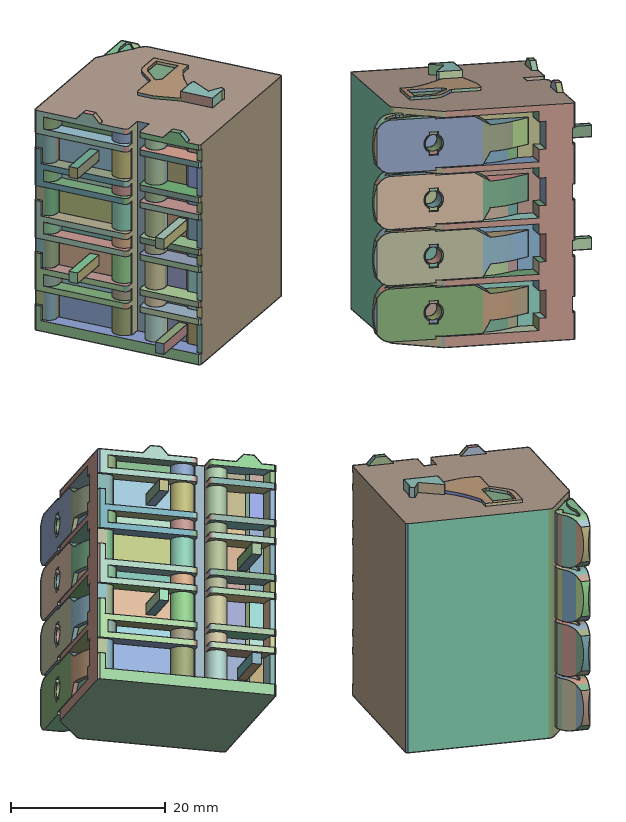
import cadquery as cq


POLE_COUNT = 4
POLE_PITCH = 7.5
WIDTH = 24.0
DEPTH = 23.7
HEIGHT = 31.47
TOTAL_HEIGHT = 32.85
TOTAL_DEPTH = 31.0

BOTTOM_PLATE = 1.5
TOP_PLATE = 0.75
WIDE_CAVITY = 4.2
RIB = 0.82

PIN_LENGTH = 4.07
LEVER_TIP_Y = TOTAL_DEPTH - PIN_LENGTH

CORNER_CHAMFER = 0.23
SLANT_START_Y = 17.67
SLANT_END_X = 4.2
SLANT_BLEND = 1.0
SLANT_START_BLEND = 0.43

SLOT_LEFT = 13.47
SLOT_RIGHT = 15.15
SLOT_DEPTH = 2.85
SLOT_LEFT_ROUND = 0.55
SLOT_RIGHT_ROUND = 0.4
LEFT_FLOOR = 2.05
LEFT_POST_X = 11.83
LEFT_POST_RADIUS = 1.48
LEFT_POST_END_Y = 1.38
ROUND_START_X = 1.35
WIDE_ROUND = 1.12
NARROW_LEDGE_Y = 0.03
NARROW_ROUND = 1.5
GROOVE_DEPTH = 2.25
GROOVE_STEP = 0.15
RIGHT_FLOOR = 2.7
RIGHT_RAISED_FLOOR = 2.3
RIGHT_POST_RADIUS = 1.38
RIGHT_POST_Y = 2.05
RIGHT_STEP_X = 20.65
RIGHT_STEP_RUN = 0.43
RIGHT_WALL_X = 22.95
RIGHT_WALL_RECESS = 0.45
RIGHT_WALL_DRAFT = 0.35

NOTCH_WIDTH = 1.0
NOTCH_DEPTH = 0.4
NOTCH_HEIGHT = 2.15

PIN_WIDTH = 1.25
PIN_HEIGHT = 1.5
PIN_BOTTOM = 2.6
LEFT_PIN_X = 7.7
RIGHT_PIN_X = 20.17

BUMP_BASE = 3.45
BUMP_TOP = 1.4
BUMP_HEIGHT = 1.1
BUMP_DEPTH = 0.82
BUMP_CENTERS = (7.75, 20.35)

POCKET_BOTTOM = 1.48
POCKET_HEIGHT = 6.7
POCKET_FRONT_Y = 4.9
POCKET_FLOOR_X = 2.95
TAB_FRONT_Y = 3.95
TAB_BOTTOM = 3.12
TAB_HEIGHT = 3.68

LEVER_BOTTOM = 1.2
LEVER_HEIGHT = 7.05
LEVER_ROUND_START_Y = 24.6
LEVER_ROUND_MIDDLE_Y = 25.35
LEVER_ROUND_MIDDLE_DROP = 0.1
LEVER_ROUND_END_Y = 26.02
LEVER_ROUND_DROP = 0.45
LEVER_SHOULDER_DROP = 1.12
LEVER_TIP_CHAMFER = 0.33
LEVER_SHOULDER_Y = LEVER_TIP_Y - LEVER_TIP_CHAMFER
LEVER_INNER_X = 3.55
LEVER_ROOT_Y = 18.72
LEVER_ROOT_X = 0.72
LEVER_OVERLAP = 0.1
LEVER_CLEARANCE = 0.1
RECESS_DEPTH = 0.33
FLAT_END_Y = 12.4
FINGER_BOTTOM = 3.25
FINGER_TOP = TAB_BOTTOM + TAB_HEIGHT
FINGER_CURVE_END = (1.2, 8.05)
FINGER_END = (2.7, 5.6)
LOWER_FINGER_SETBACK = 0.6
LOWER_FINGER_CURVE_END = (1.75, 8.57)
LOWER_FINGER_END = (2.55, 7.1)
SHOULDER_START_Y = 13.55
SHOULDER_END_Y = 11.35

HOLE_DIAMETER = 2.2
HOLE_RIM_DIAMETER = 2.55
HOLE_DEPTH = 2.63
HOLE_Y = 19.0
HOLE_Z = 4.8
RIM_DEPTH = 0.2
KEYWAY_DEPTH = 0.45
KEYWAY_WIDTH = 1.18
KEYWAY_LENGTH = 3.1

FIGURE_HEIGHT = 0.4


def slab(outline, bottom, height):
    """Prism standing on z = bottom with a closed XY outline."""
    return outline.close().extrude(height).translate((0, 0, bottom))


def polygon(points):
    return cq.Workplane("XY").polyline(points)


def block(x_range, y_range, z_range):
    (x0, x1), (y0, y1), (z0, z1) = x_range, y_range, z_range
    return cq.Workplane("XY").box(x1 - x0, y1 - y0, z1 - z0, centered=False).translate((x0, y0, z0))


def slant_y(x):
    """Y of the slanted corner face of the housing at a given x."""
    return SLANT_START_Y + x * (DEPTH - SLANT_START_Y) / SLANT_END_X


def make_housing():
    outline = [(0, 0), (WIDTH, 0), (WIDTH, DEPTH), (SLANT_END_X, DEPTH), (0, SLANT_START_Y)]
    body = slab(polygon(outline), 0, HEIGHT)
    for x, y in ((0, 0), (WIDTH, 0), (WIDTH, DEPTH)):
        corner = cq.selectors.NearestToPointSelector((x, y, HEIGHT / 2))
        body = body.edges(corner).chamfer(CORNER_CHAMFER)
    slant_corner = cq.selectors.NearestToPointSelector((SLANT_END_X, DEPTH, HEIGHT / 2))
    body = body.edges(slant_corner).fillet(SLANT_BLEND)
    slant_start = cq.selectors.NearestToPointSelector((0, SLANT_START_Y, HEIGHT / 2))
    return body.edges(slant_start).fillet(SLANT_START_BLEND)


def make_slot():
    """Vertical front slot with a rounded mouth, stopping at the bottom plate."""
    left_mouth = (SLOT_LEFT - SLOT_LEFT_ROUND, 0)
    right_mouth = (SLOT_RIGHT + SLOT_RIGHT_ROUND, 0)
    outline = (
        cq.Workplane("XY")
        .moveTo(*left_mouth)
        .radiusArc((SLOT_LEFT, SLOT_LEFT_ROUND), -SLOT_LEFT_ROUND)
        .lineTo(SLOT_LEFT, SLOT_DEPTH)
        .lineTo(SLOT_RIGHT, SLOT_DEPTH)
        .lineTo(SLOT_RIGHT, SLOT_RIGHT_ROUND)
        .radiusArc(right_mouth, -SLOT_RIGHT_ROUND)
    )
    return slab(outline, BOTTOM_PLATE, HEIGHT)


def left_cavity(ledge_y, round_radius, bottom, height):
    """Cavity with a rounded left shoulder and a post next to the slot."""
    round_end_x = ROUND_START_X + round_radius
    outline = (
        cq.Workplane("XY")
        .moveTo(ROUND_START_X, 0)
        .lineTo(ROUND_START_X, ledge_y)
        .radiusArc((round_end_x, ledge_y + round_radius), -round_radius)
        .lineTo(round_end_x, GROOVE_DEPTH)
        .lineTo(round_end_x + GROOVE_STEP, LEFT_FLOOR)
        .lineTo(LEFT_POST_X - LEFT_POST_RADIUS, LEFT_FLOOR)
        .threePointArc(
            (LEFT_POST_X, LEFT_FLOOR - LEFT_POST_RADIUS),
            (LEFT_POST_X + LEFT_POST_RADIUS, LEFT_POST_END_Y),
        )
        .lineTo(SLOT_LEFT, LEFT_POST_END_Y)
        .lineTo(SLOT_LEFT, 0)
    )
    return slab(outline, bottom, height)


def right_cavity(bottom, height):
    """Cavity with a post beside the slot, a stepped floor and a set-back right wall."""
    post_end_x = SLOT_RIGHT + 2 * RIGHT_POST_RADIUS
    outline = (
        cq.Workplane("XY")
        .moveTo(SLOT_RIGHT, 0)
        .lineTo(SLOT_RIGHT, RIGHT_POST_Y)
        .threePointArc(
            (SLOT_RIGHT + RIGHT_POST_RADIUS, RIGHT_POST_Y - RIGHT_POST_RADIUS),
            (post_end_x, RIGHT_POST_Y),
        )
        .lineTo(post_end_x, RIGHT_FLOOR)
        .lineTo(RIGHT_STEP_X, RIGHT_FLOOR)
        .lineTo(RIGHT_STEP_X + RIGHT_STEP_RUN, RIGHT_RAISED_FLOOR)
        .lineTo(RIGHT_WALL_X, RIGHT_RAISED_FLOOR)
        .lineTo(RIGHT_WALL_X + RIGHT_WALL_DRAFT, RIGHT_WALL_RECESS)
        .lineTo(WIDTH, RIGHT_WALL_RECESS)
        .lineTo(WIDTH, 0)
    )
    return slab(outline, bottom, height)


def cut_pole_cavities(body, base):
    """Wide cavity, narrow cavity above it and the wall notch of one pole."""
    wide_bottom = base + BOTTOM_PLATE
    wide_top = wide_bottom + WIDE_CAVITY
    narrow_bottom = wide_top + RIB
    is_top_pole = base == (POLE_COUNT - 1) * POLE_PITCH
    narrow_top = HEIGHT - TOP_PLATE if is_top_pole else wide_bottom + POLE_PITCH - RIB
    narrow = narrow_top - narrow_bottom
    ledge = block((NOTCH_WIDTH, ROUND_START_X), (0, NOTCH_DEPTH), (wide_bottom, wide_top))
    body = body.cut(ledge)
    body = body.cut(left_cavity(NOTCH_DEPTH, WIDE_ROUND, wide_bottom, WIDE_CAVITY))
    body = body.cut(left_cavity(NARROW_LEDGE_Y, NARROW_ROUND, narrow_bottom, narrow))
    body = body.cut(right_cavity(wide_bottom, WIDE_CAVITY))
    body = body.cut(right_cavity(narrow_bottom, narrow))
    return body.cut(block((0, NOTCH_WIDTH), (0, NOTCH_DEPTH), (wide_top - NOTCH_HEIGHT, wide_top)))


def make_pin(center_x, base):
    half = PIN_WIDTH / 2
    bottom = base + PIN_BOTTOM
    return block(
        (center_x - half, center_x + half), (-PIN_LENGTH, SLOT_DEPTH), (bottom, bottom + PIN_HEIGHT)
    )


def make_bump(center_x):
    profile = [
        (center_x - BUMP_BASE / 2, HEIGHT),
        (center_x + BUMP_BASE / 2, HEIGHT),
        (center_x + BUMP_TOP / 2, HEIGHT + BUMP_HEIGHT),
        (center_x - BUMP_TOP / 2, HEIGHT + BUMP_HEIGHT),
    ]
    return cq.Workplane("XZ").polyline(profile).close().extrude(-BUMP_DEPTH)


def make_pocket(base):
    bottom = base + POCKET_BOTTOM
    pocket = block(
        (0, POCKET_FLOOR_X), (POCKET_FRONT_Y, DEPTH), (bottom, bottom + POCKET_HEIGHT)
    )
    tab_bottom = base + TAB_BOTTOM
    tab = block(
        (0, POCKET_FLOOR_X), (TAB_FRONT_Y, POCKET_FRONT_Y), (tab_bottom, tab_bottom + TAB_HEIGHT)
    )
    return pocket.union(tab)


def lever_handle(base):
    """Free end of the lever, outside the slanted housing corner."""
    outline = [
        (0, LEVER_ROOT_Y),
        (0, LEVER_SHOULDER_Y),
        (LEVER_TIP_CHAMFER, LEVER_TIP_Y),
        (1.0, LEVER_TIP_Y),
        (1.7, LEVER_ROUND_END_Y),
        (3.12, 24.4),
        (LEVER_INNER_X, 23.6),
        (LEVER_INNER_X, slant_y(LEVER_INNER_X) - LEVER_OVERLAP),
        (LEVER_ROOT_X, LEVER_ROOT_Y),
    ]
    bottom = base + LEVER_BOTTOM
    top = bottom + LEVER_HEIGHT
    handle = slab(polygon(outline), bottom, LEVER_HEIGHT)
    lower_middle, upper_middle = [
        (LEVER_ROUND_MIDDLE_Y, z) for z in (bottom + LEVER_ROUND_MIDDLE_DROP, top - LEVER_ROUND_MIDDLE_DROP)
    ]
    lower_end, upper_end = [
        (LEVER_ROUND_END_Y, z) for z in (bottom + LEVER_ROUND_DROP, top - LEVER_ROUND_DROP)
    ]
    lower_shoulder, upper_shoulder = [
        (LEVER_SHOULDER_Y, z) for z in (bottom + LEVER_SHOULDER_DROP, top - LEVER_SHOULDER_DROP)
    ]
    side = (
        cq.Workplane("YZ")
        .moveTo(LEVER_ROOT_Y, bottom)
        .lineTo(LEVER_ROUND_START_Y, bottom)
        .threePointArc(lower_middle, lower_end)
        .lineTo(*lower_shoulder)
        .threePointArc((LEVER_TIP_Y, bottom + LEVER_HEIGHT / 2), upper_shoulder)
        .lineTo(*upper_end)
        .threePointArc(upper_middle, (LEVER_ROUND_START_Y, top))
        .lineTo(LEVER_ROOT_Y, top)
        .close()
        .extrude(LEVER_INNER_X)
    )
    return handle.intersect(side)


def curved_finger(start_x, curve_end, end, bottom, height):
    """Finger whose outer face sweeps inwards from the flat of the lever."""
    curve_middle = (
        start_x + (curve_end[0] - start_x) / 4,
        (FLAT_END_Y + curve_end[1]) / 2,
    )
    outline = (
        cq.Workplane("XY")
        .moveTo(POCKET_FLOOR_X, FLAT_END_Y)
        .lineTo(start_x, FLAT_END_Y)
        .threePointArc(curve_middle, curve_end)
        .lineTo(*end)
        .lineTo(POCKET_FLOOR_X, end[1])
    )
    return slab(outline, bottom, height)


def finger_trim(start_y, lever_z, finger_z):
    """Cutter that narrows the lever along a slope from its edge to the edge of the upper finger."""
    profile = [
        (start_y, lever_z),
        (SHOULDER_END_Y, finger_z),
        (FINGER_END[1], finger_z),
        (FINGER_END[1], lever_z),
    ]
    return cq.Workplane("YZ").polyline(profile).close().extrude(POCKET_FLOOR_X)


def lever_body(base):
    """Part of the lever that lies in the pocket, down to the two curved fingers."""
    bottom = base + POCKET_BOTTOM + LEVER_CLEARANCE
    height = POCKET_HEIGHT - 2 * LEVER_CLEARANCE
    top = bottom + height
    outline = [
        (0, FLAT_END_Y),
        (0, LEVER_ROOT_Y + LEVER_OVERLAP),
        (POCKET_FLOOR_X, slant_y(POCKET_FLOOR_X) + LEVER_OVERLAP),
        (POCKET_FLOOR_X, FLAT_END_Y),
    ]
    flat = slab(polygon(outline), bottom, height)
    finger_top = base + FINGER_TOP
    finger_bottom = base + FINGER_BOTTOM
    upper = curved_finger(0, FINGER_CURVE_END, FINGER_END, bottom, height)
    lower_height = finger_bottom - bottom
    lower = curved_finger(
        LOWER_FINGER_SETBACK, LOWER_FINGER_CURVE_END, LOWER_FINGER_END, bottom, lower_height
    )
    upper_trim = finger_trim(SHOULDER_START_Y, top, finger_top)
    lower_trim = finger_trim(FLAT_END_Y, bottom, finger_bottom)
    return flat.union(upper.cut(lower_trim)).union(lower).cut(upper_trim)


def make_lever(base):
    """Whole lever with the shallow recess in the top of its handle."""
    recess = [
        (0.33, LEVER_ROOT_Y),
        (0.82, 19.25),
        (1.18, 20.05),
        (1.18, 21.78),
        (0.82, 23.0),
        (0.82, 24.8),
        (1.05, 25.23),
        (1.3, 25.13),
        (2.75, 23.4),
        (2.45, 22.93),
        (2.45, 22.37),
        (LEVER_INNER_X, 22.37),
        (LEVER_INNER_X, LEVER_ROOT_Y),
    ]
    top = base + LEVER_BOTTOM + LEVER_HEIGHT
    lever = lever_body(base).union(lever_handle(base))
    return lever.cut(slab(polygon(recess), top - RECESS_DEPTH, RECESS_DEPTH))


def make_test_hole(base):
    """Blind hole with a shallow rim and a vertical keyway, entering from x = 0."""
    center = cq.Workplane("YZ").center(HOLE_Y, base + HOLE_Z)
    hole = center.circle(HOLE_DIAMETER / 2).extrude(HOLE_DEPTH)
    rim = center.circle(HOLE_RIM_DIAMETER / 2).extrude(RIM_DEPTH)
    keyway = center.rect(KEYWAY_WIDTH, KEYWAY_LENGTH).extrude(KEYWAY_DEPTH)
    return hole.union(rim).union(keyway)


def make_figure():
    """Low raised figure with a window, and a taller block beside it."""
    figure = (
        cq.Workplane("XY")
        .moveTo(7.15, 20.25)
        .lineTo(12.22, 20.25)
        .lineTo(12.22, 18.6)
        .threePointArc((13.8, 15.95), (15.75, 13.9))
        .lineTo(15.75, 10.87)
        .lineTo(12.3, 9.92)
        .lineTo(10.25, 9.92)
        .radiusArc((9.8, 10.38), 0.45)
        .lineTo(9.8, 14.0)
        .lineTo(7.92, 15.6)
        .threePointArc((7.35, 16.33), (7.15, 17.15))
    )
    window = [
        (7.9, 19.5), (11.0, 19.5), (11.0, 14.98), (10.38, 14.52), (9.95, 14.72), (8.08, 16.55), (7.9, 17.08)
    ]
    pointer = [
        (15.75, 10.87), (20.37, 10.87), (20.37, 13.5), (20.55, 13.9),
        (19.95, 14.32), (18.92, 12.55), (15.93, 14.32), (15.75, 14.05),
    ]
    low = slab(figure, HEIGHT, FIGURE_HEIGHT).cut(slab(polygon(window), HEIGHT, FIGURE_HEIGHT))
    return low.union(slab(polygon(pointer), HEIGHT, TOTAL_HEIGHT - HEIGHT))


result = make_housing().cut(make_slot())
for pole in range(POLE_COUNT):
    pole_base = pole * POLE_PITCH
    result = cut_pole_cavities(result, pole_base)
    result = result.cut(make_pocket(pole_base))
    result = result.union(make_lever(pole_base))
    result = result.cut(make_test_hole(pole_base))
    pin_x = LEFT_PIN_X if pole % 2 else RIGHT_PIN_X
    result = result.union(make_pin(pin_x, pole_base))
for bump_x in BUMP_CENTERS:
    result = result.union(make_bump(bump_x))
result = result.union(make_figure())